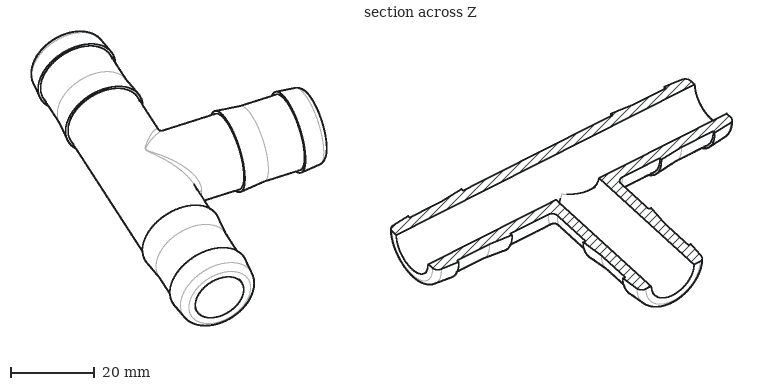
import cadquery as cq

run_length = 88.9
tube_diameter = 19.05
bore_diameter = 12.7
barb_diameter = 20.32
barb_length = 6.35
inner_barb_setback = 15.875
tip_fillet = 1.5875
junction_fillet = 1.5875
branch_clearance = 0.03

arm_length = run_length / 2
run_radius = tube_diameter / 2
branch_radius = run_radius - branch_clearance
barb_radius = barb_diameter / 2
bore_radius = bore_diameter / 2
outer_barb_step = arm_length - barb_length
inner_barb_tip = arm_length - inner_barb_setback
inner_barb_step = inner_barb_tip - barb_length


def barbed_profile(tube_radius):
    """Points (distance along the axis, radius) of one solid arm, from tee centre to open end.

    Each barb widens inward from the tube size and ends in a square step.
    """
    return [
        (0, tube_radius),
        (inner_barb_step, tube_radius),
        (inner_barb_step, barb_radius),
        (inner_barb_tip, tube_radius),
        (outer_barb_step, tube_radius),
        (outer_barb_step, barb_radius),
        (arm_length, tube_radius),
        (arm_length, 0),
    ]


def solid_run():
    """Run tube along X without its bore, barbed and rounded at both ends."""
    right_half = barbed_profile(run_radius)[1:]
    left_half = [(-x, radius) for x, radius in reversed(right_half)]
    profile = cq.Workplane("XY").polyline(left_half + right_half).close()
    run = profile.revolve(360, (0, 0, 0), (1, 0, 0))
    return run.faces("<X or >X").edges().fillet(tip_fillet)


def solid_branch():
    """Branch tube along +Y without its bore, barbed and rounded at its open end."""
    points = [(radius, y) for y, radius in barbed_profile(branch_radius)]
    profile = cq.Workplane("XY").polyline([(0, 0)] + points).close()
    branch = profile.revolve(360, (0, 0, 0), (0, 1, 0))
    return branch.faces(">Y").edges().fillet(tip_fillet)


def fillet_junction(body):
    """Round the inside corner where the branch tube meets the run tube."""
    reach = barb_radius
    meeting_curve = cq.selectors.BoxSelector((-reach, -reach, -reach), (reach, reach, reach))
    return body.edges(meeting_curve).fillet(junction_fillet)


def bores():
    """Through bore of the run and the branch bore that opens into it."""
    run_bore = cq.Workplane("YZ").circle(bore_radius).extrude(arm_length, both=True)
    branch_bore = cq.Workplane("XZ").circle(bore_radius).extrude(-arm_length)
    return run_bore.union(branch_bore)


tee = fillet_junction(solid_run().union(solid_branch()))
result = tee.cut(bores())